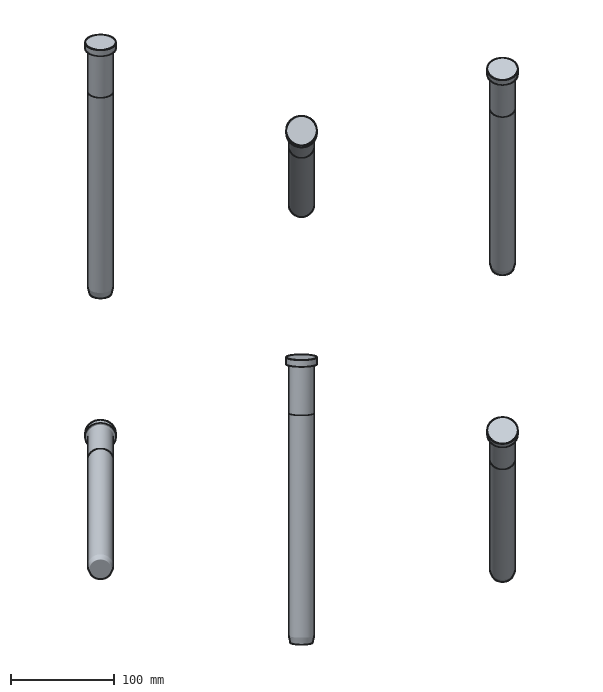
import cadquery as cq

total_length = 280.0
head_diameter = 30.0
head_thickness = 7.0
shank_diameter = 25.0
head_edge_chamfer = 0.42
head_root_fillet = 0.8
collar_length = 55.0
tip_length = 7.3
tip_end_diameter = 21.8
tip_edge_fillet = 0.5

head_radius = head_diameter / 2
shank_radius = shank_diameter / 2
tip_end_radius = tip_end_diameter / 2
joint_height = total_length - collar_length
head_underside = total_length - head_thickness


def revolve_about_z(profile):
    """Turn a closed XZ profile a full circle around the Z axis."""
    return profile.revolve(360, (0, 0, 0), (0, 1, 0))


def make_headed_collar():
    """Upper body: a round head, chamfered on top, with a small fillet where it meets the shank."""
    profile = (
        cq.Workplane("XZ")
        .moveTo(0, joint_height)
        .lineTo(shank_radius, joint_height)
        .lineTo(shank_radius, head_underside - head_root_fillet)
        .radiusArc((shank_radius + head_root_fillet, head_underside), head_root_fillet)
        .lineTo(head_radius, head_underside)
        .lineTo(head_radius, total_length - head_edge_chamfer)
        .lineTo(head_radius - head_edge_chamfer, total_length)
        .lineTo(0, total_length)
        .close()
    )
    return revolve_about_z(profile)


def make_guide_shank():
    """Lower body: a long cylinder with a tapered lead-in and a rounded edge at its bottom end."""
    profile = (
        cq.Workplane("XZ")
        .lineTo(tip_end_radius, 0)
        .lineTo(shank_radius, tip_length)
        .lineTo(shank_radius, joint_height)
        .lineTo(0, joint_height)
        .close()
    )
    return revolve_about_z(profile).faces("<Z").edges().fillet(tip_edge_fillet)


headed_collar = make_headed_collar()
guide_shank = make_guide_shank()
result = cq.Compound.makeCompound([headed_collar.val(), guide_shank.val()])